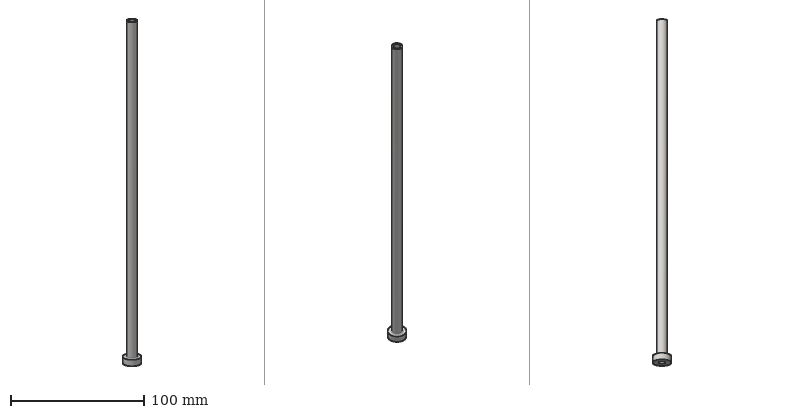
import cadquery as cq

total_length = 275.0

head_diameter = 14.0
head_thickness = 5.2

shaft_diameter = 8.0
bore_diameter = 5.2
root_fillet = 0.5


def cylinder(diameter, length):
    """Cylinder on the Z axis, standing on the underside of the head."""
    return cq.Workplane("XY").circle(diameter / 2).extrude(length)


head = cylinder(head_diameter, head_thickness)
shaft = cylinder(shaft_diameter, total_length)
sleeve = head.union(shaft)

root_edge = cq.selectors.RadiusNthSelector(0)
sleeve = sleeve.faces(">Z[-2]").edges(root_edge).fillet(root_fillet)

result = sleeve.cut(cylinder(bore_diameter, total_length))